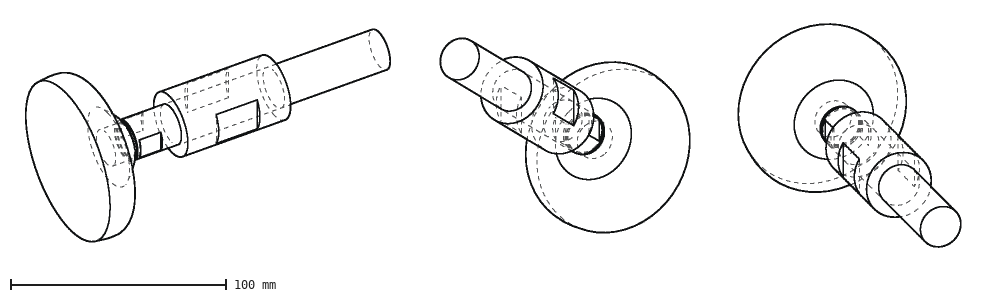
import cadquery as cq
import math

TOTAL_LENGTH = 166.5

FOOT_RADIUS = 40.0
SOLE_RADIUS = 39.3
TAPER_TOP = 6.0
SHOULDER_START = 9.0
SHOULDER_RADIUS = 7.0
CONE_ANGLE = 21.0
CONE_TOP = 21.6
DOME_RADIUS = 22.0
DOME_CENTRE = 10.7
DOME_BASE = 23.0
DOME_TOP = 30.3

STEM_RADIUS = 10.0
NECK_RADIUS = 9.0
NECK_TOP = 31.6
SOCKET_DEPTH = 10.0
STEM_FLAT_START = 33.3
STEM_FLAT_LENGTH = 11.5
STEM_ACROSS_FLATS = 17.0

SLEEVE_RADIUS = 16.0
SLEEVE_START = 55.0
SLEEVE_LENGTH = 55.0
SLEEVE_FLAT_LENGTH = 22.0
SLEEVE_ACROSS_FLATS = 27.0

SOCKET_FLOOR = DOME_TOP - SOCKET_DEPTH


def cylinder(radius, start, end):
    """Cylinder about the Y axis between two heights."""
    return cq.Workplane("XZ", origin=(0, start, 0)).circle(radius).extrude(start - end)


def cut_flats(body, radius, across_flats, start, length):
    """Cut a pair of opposite flats facing -X and +X."""
    depth = radius - across_flats / 2
    middle = (across_flats + depth) / 2
    for side in (-1, 1):
        cutter = cq.Workplane("XY").box(depth, length, 2 * radius)
        body = body.cut(cutter.translate((side * middle, start + length / 2, 0)))
    return body


def dome_radius_at(height):
    return math.sqrt(DOME_RADIUS**2 - (height - DOME_CENTRE) ** 2)


def make_foot():
    slope = math.radians(CONE_ANGLE)
    shoulder_centre = FOOT_RADIUS - SHOULDER_RADIUS
    turn = math.pi / 2 - slope

    def shoulder_point(angle):
        return (
            shoulder_centre + SHOULDER_RADIUS * math.cos(angle),
            SHOULDER_START + SHOULDER_RADIUS * math.sin(angle),
        )

    cone_base = shoulder_point(turn)
    cone_top_radius = cone_base[0] - (CONE_TOP - cone_base[1]) / math.tan(slope)
    dome_middle = (DOME_BASE + DOME_TOP) / 2
    profile = (
        cq.Workplane("XY")
        .lineTo(SOLE_RADIUS, 0)
        .lineTo(FOOT_RADIUS, TAPER_TOP)
        .lineTo(FOOT_RADIUS, SHOULDER_START)
        .threePointArc(shoulder_point(turn / 2), cone_base)
        .lineTo(cone_top_radius, CONE_TOP)
        .lineTo(dome_radius_at(DOME_BASE), DOME_BASE)
        .threePointArc(
            (dome_radius_at(dome_middle), dome_middle),
            (dome_radius_at(DOME_TOP), DOME_TOP),
        )
        .lineTo(0, DOME_TOP)
        .close()
    )
    foot = profile.revolve(360, (0, 0, 0), (0, 1, 0))
    return foot.cut(cylinder(NECK_RADIUS, SOCKET_FLOOR, DOME_TOP))


def make_stem():
    stem = cylinder(STEM_RADIUS, NECK_TOP, TOTAL_LENGTH)
    stem = stem.union(cylinder(NECK_RADIUS, SOCKET_FLOOR, NECK_TOP))
    return cut_flats(stem, STEM_RADIUS, STEM_ACROSS_FLATS, STEM_FLAT_START, STEM_FLAT_LENGTH)


def make_sleeve():
    end = SLEEVE_START + SLEEVE_LENGTH
    sleeve = cylinder(SLEEVE_RADIUS, SLEEVE_START, end)
    sleeve = sleeve.cut(cylinder(STEM_RADIUS, SLEEVE_START, end))
    flat_start = SLEEVE_START + (SLEEVE_LENGTH - SLEEVE_FLAT_LENGTH) / 2
    return cut_flats(sleeve, SLEEVE_RADIUS, SLEEVE_ACROSS_FLATS, flat_start, SLEEVE_FLAT_LENGTH)


foot = make_foot()
stem = make_stem()
sleeve = make_sleeve()

result = cq.Compound.makeCompound([foot.val(), stem.val(), sleeve.val()])